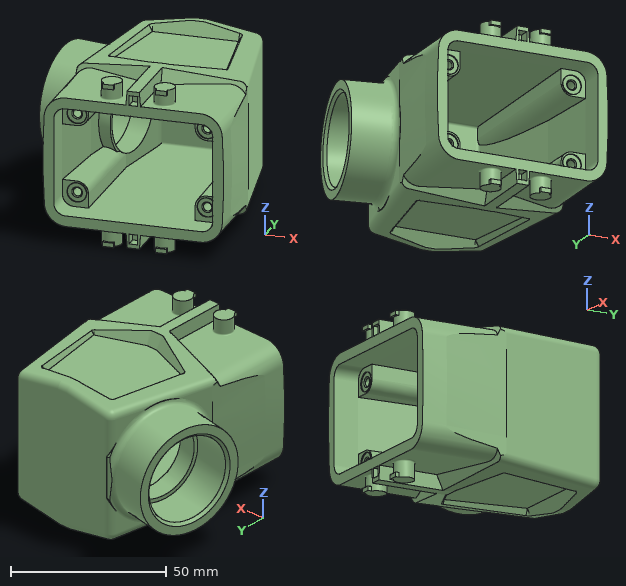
import cadquery as cq
import math


OVERLAP = 0.75

MOUTH_HALF_X = 30.6
MOUTH_BOW = 0.45
MOUTH_HALF_Z = 22.2
MOUTH_CORNER = 7.5
MOUTH_STRAIGHT = 8.95

SHOULDER_Y = 32.2
SHOULDER_HALF_X = 28.5
SHOULDER_BOW = 0.015
BACK_Y = 72.3
SIDE_ANGLE = math.radians(11)
RIDGE_Z = 27.0
RIDGE_HALF_X = 2.1
ROOF_SLOPE = 0.168
BODY_FILLET = 3

STEP_CENTRE_Y = 20.4
STEP_SIDE_Y = 30.3
STEP_LEAN = 0.52
STEP_OVERLAP = 7.5

RIB_END_Y = 27.25
RIB_ROOT_WIDTH = 5.1
RIB_TOP_WIDTH = 4.2
RIB_SLOT_WIDTH = 2.8
RIB_SLOT_HEIGHT = 3.35
RIB_SLOT_DEPTH = 3.7

PANEL_FLOOR_Z = 22.6
PANEL_BACK_Y = 64.65
PANEL_SIDE_Y = 36.5
PANEL_FRONT_Y = 29.9
PANEL_BACK_HALF_X = 14.55
PANEL_SIDE_HALF_X = 19.3
PANEL_CORNER = 0.75
PANEL_DRAFT = 31

PIN_X = 8.95
PIN_Y = 5.4
PIN_RADIUS = 3.4
PIN_TOP_Z = 28.0
PIN_FOOT = 0.5
KEY_WIDTH = 3.7
KEY_HEIGHT = 1.6
KEY_FRONT_Y = 1.2

NECK_END_X = -39.85
NECK_END_Y = 55.45
NECK_RADIUS = 19.55
NECK_FLARE = 2.25
NECK_EMBED = 1.5
ENTRY_RADIUS = 15.3
ENTRY_CHAMFER = 1.05
ENTRY_DEPTH = 16.1
BORE_RADIUS = 13.9

WALL = 3.7
CAVITY_HALF_X = MOUTH_HALF_X - WALL
CAVITY_HALF_Z = MOUTH_HALF_Z - WALL
CAVITY_CORNER = 3.9
CAVITY_BACK_Y = BACK_Y - WALL
CAVITY_BACK_HALF_Z = 17.7
CAVITY_FILLET = 0.9
PAD_INNER_DEPTH = 23.6
PAD_RADIUS = 15.0
PAD_BLOCK_DROP = 6

POST_X = 22.0
POST_Z = 13.5
POST_RADIUS = 3.95
POST_FACE_Y = 8.95
POST_DRAFT = 0.8
SEAT_RADIUS = 3.3
SEAT_DEPTH = 0.4
SCREW_RADIUS = 1.4
SCREW_CHAMFER = 0.4
SCREW_DEPTH = 11.2


def side_x(y):
    """Half width of the upper body at a given y."""
    return SHOULDER_HALF_X - (y - SHOULDER_Y) * math.tan(SIDE_ANGLE)


def mouth_side_x(y):
    """Half width of the mouth section beside its bowed ends, within the tapered part."""
    front_x = MOUTH_HALF_X - MOUTH_BOW
    taper = (front_x - SHOULDER_HALF_X) / (SHOULDER_Y - MOUTH_STRAIGHT)
    return SHOULDER_HALF_X + (SHOULDER_Y - y) * taper


def roof_z(x):
    """Height of the roof at a given x."""
    return RIDGE_Z - max(abs(x) - RIDGE_HALF_X, 0) * ROOF_SLOPE


def section(y):
    """Sketch plane at y with local axes X and Z; a negative extrusion goes toward +Y."""
    return cq.Workplane("XZ", origin=(0, y, 0))


def both_faces(solid):
    """The solid together with its mirror image below the mid plane."""
    return solid.union(solid.mirror("XY"))


def bowed_outline(plane, half_x, bow):
    """Mouth outline without its corner rounds, whose two ends bow outward up to half_x."""
    corner_x = half_x - bow
    bow_z = MOUTH_HALF_Z - MOUTH_CORNER
    return (
        plane.moveTo(-corner_x, -MOUTH_HALF_Z)
        .lineTo(corner_x, -MOUTH_HALF_Z)
        .lineTo(corner_x, -bow_z)
        .threePointArc((half_x, 0), (corner_x, bow_z))
        .lineTo(corner_x, MOUTH_HALF_Z)
        .lineTo(-corner_x, MOUTH_HALF_Z)
        .lineTo(-corner_x, bow_z)
        .threePointArc((-half_x, 0), (-corner_x, -bow_z))
        .close()
    )


def mouth_section():
    """Rounded box at the mouth whose ends taper in plan behind a short straight stretch."""
    straight = bowed_outline(section(0), MOUTH_HALF_X, MOUTH_BOW).extrude(-MOUTH_STRAIGHT)
    front = bowed_outline(section(MOUTH_STRAIGHT), MOUTH_HALF_X, MOUTH_BOW)
    back = front.workplane(offset=MOUTH_STRAIGHT - SHOULDER_Y)
    taper = bowed_outline(back, SHOULDER_HALF_X + SHOULDER_BOW, SHOULDER_BOW).loft(ruled=True)
    corner_x = MOUTH_HALF_X - MOUTH_BOW
    rounded = section(0).rect(2 * corner_x, 2 * MOUTH_HALF_Z).extrude(-SHOULDER_Y)
    rounded = rounded.edges("|Y").fillet(MOUTH_CORNER)
    band_height = 2 * (MOUTH_HALF_Z - MOUTH_CORNER)
    end_band = section(0).rect(2 * (MOUTH_HALF_X + OVERLAP), band_height).extrude(-SHOULDER_Y)
    return straight.union(taper).intersect(rounded.union(end_band))


def is_upper_eave(edge):
    """Whether an edge runs along the eaves of the upper body, behind the mouth section."""
    middle = edge.Center()
    return middle.y > SHOULDER_Y and middle.y < BACK_Y - OVERLAP and abs(middle.x) > RIDGE_HALF_X + OVERLAP


def upper_body():
    """Tapered body with pitched roofs, rounded edges and a V-shaped slanted step in front."""
    back_x = side_x(BACK_Y)
    front_x = mouth_side_x(MOUTH_STRAIGHT)
    plan = [
        (front_x, MOUTH_STRAIGHT),
        (SHOULDER_HALF_X, SHOULDER_Y),
        (back_x, BACK_Y),
        (-back_x, BACK_Y),
        (-SHOULDER_HALF_X, SHOULDER_Y),
        (-front_x, MOUTH_STRAIGHT),
    ]
    body = cq.Workplane("XY").polyline(plan).close().extrude(RIDGE_Z, both=True)
    gable = [(x, roof_z(x)) for x in (MOUTH_HALF_X, RIDGE_HALF_X, -RIDGE_HALF_X, -MOUTH_HALF_X)]
    gable += [(x, -z) for x, z in reversed(gable)]
    body = body.intersect(section(0).polyline(gable).close().extrude(-BACK_Y))
    eaves = body.edges("not(|X or |Y or |Z)").filter(is_upper_eave)
    body = body.faces(">Y").edges().add(eaves).fillet(BODY_FILLET)
    return body.cut(both_faces(step_cutter()))


def step_cutter():
    """Wedge above the mid plane that leaves two slanted step faces meeting at the middle."""
    along = cq.Vector(mouth_side_x(STEP_SIDE_Y), STEP_SIDE_Y - STEP_CENTRE_Y, 0)
    reach = 2 * SHOULDER_HALF_X
    top_z = RIDGE_Z + OVERLAP
    overlap = along.normalized() * -STEP_OVERLAP
    start = cq.Vector(0, STEP_CENTRE_Y, 0) + overlap
    plane = cq.Plane(start.toTuple(), (-along.y, along.x, 0), along.toTuple())
    profile = [
        (-STEP_LEAN * MOUTH_HALF_Z, 0),
        (STEP_LEAN * (top_z - MOUTH_HALF_Z), top_z),
        (-STEP_CENTRE_Y - STEP_SIDE_Y, top_z),
        (-STEP_CENTRE_Y - STEP_SIDE_Y, 0),
    ]
    half = cq.Workplane(plane).polyline(profile).close().extrude(reach)
    return half.union(half.mirror("YZ"))


def rib():
    """Tapered rib along the mouth section, with a blind slot in its front end."""
    profile = [
        (-RIB_ROOT_WIDTH / 2, MOUTH_HALF_Z - OVERLAP),
        (RIB_ROOT_WIDTH / 2, MOUTH_HALF_Z - OVERLAP),
        (RIB_TOP_WIDTH / 2, RIDGE_Z),
        (-RIB_TOP_WIDTH / 2, RIDGE_Z),
    ]
    bar = section(0).polyline(profile).close().extrude(-RIB_END_Y)
    slot = (
        section(0)
        .center(0, MOUTH_HALF_Z + RIB_SLOT_HEIGHT / 2)
        .rect(RIB_SLOT_WIDTH, RIB_SLOT_HEIGHT)
        .extrude(-RIB_SLOT_DEPTH)
    )
    return bar.cut(slot)


def panel_cutter():
    """Recess with a flat floor and drafted walls that opens through the pitched roof."""
    floor = [
        (PANEL_BACK_HALF_X, PANEL_BACK_Y),
        (PANEL_SIDE_HALF_X, PANEL_SIDE_Y),
        (RIDGE_HALF_X, PANEL_FRONT_Y),
    ]
    floor += [(-x, y) for x, y in reversed(floor)]
    depth = RIDGE_Z - PANEL_FLOOR_Z
    recess = (
        cq.Workplane("XY", origin=(0, 0, PANEL_FLOOR_Z))
        .polyline(floor)
        .close()
        .extrude(depth + OVERLAP, taper=-PANEL_DRAFT)
    )
    corners = recess.edges("not #Z").filter(lambda edge: abs(edge.Center().x) > PANEL_BACK_HALF_X / 2)
    return recess.newObject(corners.vals()).fillet(PANEL_CORNER)


def pin(x):
    """Round locking pin with a flared foot and a short key pointing toward the mouth."""
    foot_z = MOUTH_HALF_Z
    axis_foot = cq.Workplane("XZ", origin=(x, PIN_Y, 0)).moveTo(0, foot_z - OVERLAP)
    post = (
        axis_foot.lineTo(PIN_RADIUS + PIN_FOOT, foot_z - OVERLAP)
        .lineTo(PIN_RADIUS + PIN_FOOT, foot_z)
        .radiusArc((PIN_RADIUS, foot_z + PIN_FOOT), PIN_FOOT)
        .lineTo(PIN_RADIUS, PIN_TOP_Z)
        .lineTo(0, PIN_TOP_Z)
        .close()
        .revolve(360, (0, 0, 0), (0, 1, 0))
    )
    key_length = PIN_Y - KEY_FRONT_Y
    key = cq.Workplane("XY").box(KEY_WIDTH, key_length, KEY_HEIGHT, centered=(True, False, False))
    return post.union(key.translate((x, KEY_FRONT_Y, PIN_TOP_Z - KEY_HEIGHT)))


def neck_plane(depth):
    """Sketch plane square to the neck, at a depth from its open end toward the cavity."""
    inward = cq.Vector(math.cos(SIDE_ANGLE), -math.sin(SIDE_ANGLE), 0)
    origin = cq.Vector(NECK_END_X, NECK_END_Y, 0) + inward * depth
    return cq.Workplane(cq.Plane(origin.toTuple(), (-inward.y, inward.x, 0), inward.toTuple()))


def neck_wall_depth():
    """Distance along the neck axis from the open end to the outer side wall."""
    gap = -side_x(NECK_END_Y) - NECK_END_X
    return gap * math.cos(SIDE_ANGLE)


def neck():
    """Cylindrical neck with a concave flare where it meets the side wall."""
    wall = neck_wall_depth()
    foot_radius = NECK_RADIUS + NECK_FLARE
    tube = neck_plane(0).circle(NECK_RADIUS).extrude(wall + NECK_EMBED)
    flare = (
        neck_plane(0)
        .transformed(rotate=(0, 90, 0))
        .moveTo(-(wall - NECK_FLARE), 0)
        .lineTo(-(wall - NECK_FLARE), NECK_RADIUS)
        .radiusArc((-wall, foot_radius), NECK_FLARE)
        .lineTo(-(wall + NECK_EMBED), foot_radius)
        .lineTo(-(wall + NECK_EMBED), 0)
        .close()
        .revolve(360, (0, 0, 0), (1, 0, 0))
    )
    behind_back = section(BACK_Y).rect(4 * MOUTH_HALF_X, 4 * MOUTH_HALF_Z).extrude(-BACK_Y)
    return tube.union(flare.cut(behind_back))


def neck_bore():
    """Stepped bore through the neck with a chamfered entry."""
    entry = neck_plane(0).circle(ENTRY_RADIUS).extrude(ENTRY_DEPTH)
    mouth = neck_plane(0).circle(ENTRY_RADIUS + ENTRY_CHAMFER).workplane(offset=ENTRY_CHAMFER)
    chamfer = mouth.circle(ENTRY_RADIUS).loft()
    bore = neck_plane(0).circle(BORE_RADIUS).extrude(PAD_INNER_DEPTH + WALL)
    return entry.union(chamfer).union(bore)


def neck_pad():
    """Thickened inner wall around the bore: half round toward the mouth, block toward the back."""
    thickness = PAD_INNER_DEPTH - ENTRY_DEPTH
    round_part = neck_plane(ENTRY_DEPTH).circle(PAD_RADIUS).extrude(thickness)
    block = (
        neck_plane(ENTRY_DEPTH)
        .center(BACK_Y / 2 - PAD_BLOCK_DROP, 0)
        .rect(BACK_Y, 2 * MOUTH_HALF_Z)
        .extrude(thickness)
    )
    return round_part.union(block)


def posts():
    """Four screw posts filling the cavity corners, rounded about their screws."""
    length = CAVITY_BACK_Y - POST_FACE_Y
    post = (
        section(POST_FACE_Y)
        .moveTo(POST_X - POST_RADIUS, MOUTH_HALF_Z)
        .lineTo(POST_X - POST_RADIUS, POST_Z)
        .radiusArc((POST_X, POST_Z - POST_RADIUS), -POST_RADIUS)
        .lineTo(MOUTH_HALF_X, POST_Z - POST_RADIUS)
        .lineTo(MOUTH_HALF_X, MOUTH_HALF_Z)
        .close()
        .extrude(-length, taper=-POST_DRAFT)
    )
    screws = section(POST_FACE_Y).center(POST_X, POST_Z)
    seat = screws.circle(SEAT_RADIUS).extrude(-SEAT_DEPTH)
    hole = screws.circle(SCREW_RADIUS).extrude(-SCREW_DEPTH)
    countersink = (
        section(POST_FACE_Y + SEAT_DEPTH)
        .center(POST_X, POST_Z)
        .circle(SCREW_RADIUS + SCREW_CHAMFER)
        .workplane(offset=-SCREW_CHAMFER)
        .circle(SCREW_RADIUS)
        .loft()
    )
    post = post.cut(seat).cut(hole).cut(countersink)
    pair = post.union(post.mirror("YZ"))
    return both_faces(pair)


def cavity():
    """Hollow interior, less the posts and the thickened wall at the neck."""
    wall_run = WALL / math.cos(SIDE_ANGLE)
    plan = [
        (CAVITY_HALF_X, POST_FACE_Y),
        (SHOULDER_HALF_X - wall_run, SHOULDER_Y),
        (side_x(CAVITY_BACK_Y) - wall_run, CAVITY_BACK_Y),
    ]
    plan += [(-x, y) for x, y in reversed(plan)]
    room = cq.Workplane("XY").polyline(plan).close().extrude(CAVITY_HALF_Z, both=True)
    profile = [
        (POST_FACE_Y, CAVITY_HALF_Z),
        (CAVITY_BACK_Y, CAVITY_BACK_HALF_Z),
        (CAVITY_BACK_Y, -CAVITY_BACK_HALF_Z),
        (POST_FACE_Y, -CAVITY_HALF_Z),
    ]
    room = room.intersect(cq.Workplane("YZ").polyline(profile).close().extrude(CAVITY_HALF_X, both=True))
    room = room.cut(neck_pad())
    room = room.faces(">Y").edges().fillet(CAVITY_FILLET)
    opening = section(0).rect(2 * CAVITY_HALF_X, 2 * CAVITY_HALF_Z).extrude(-POST_FACE_Y)
    opening = opening.edges("|Y").fillet(CAVITY_CORNER)
    return opening.union(room.cut(posts()))


shell = mouth_section().union(upper_body()).union(neck())
shell = shell.union(both_faces(rib()))
shell = shell.cut(both_faces(panel_cutter()))
for pin_x in (-PIN_X, PIN_X):
    shell = shell.union(both_faces(pin(pin_x)))
result = shell.cut(cavity()).cut(neck_bore())